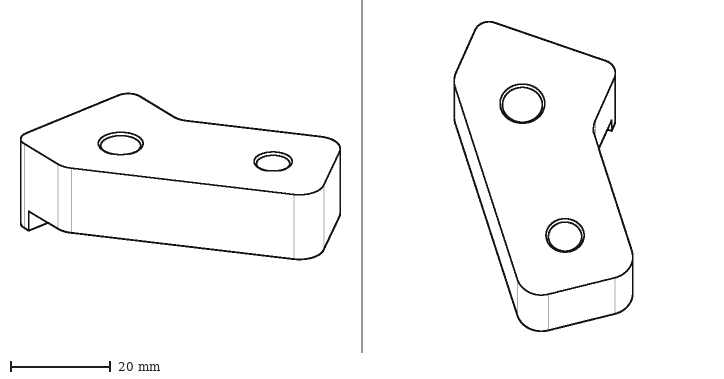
import cadquery as cq
import math

total_height = 19.5
lip_height = 4.5
lip_width = 4.5
base_depth = 30.0
bend_x = 15.25
arm_angle = math.radians(37.25)
arm_length = 43.45
base_corner_radius = 3.05
arm_corner_radius = 5.0
large_hole_diameter = 8.0
small_hole_diameter = 6.65
hole_spacing = 31.4
hole_chamfer = 0.5

arm_half_width = base_depth * math.cos(arm_angle) / 2


def arm_point(along, across):
    """XY point given along and across the arm axis, starting at the bend."""
    x = bend_x + along * math.cos(arm_angle) - across * math.sin(arm_angle)
    y = base_depth / 2 + along * math.sin(arm_angle) + across * math.cos(arm_angle)
    return (x, y)


def make_body():
    """Bent plate with rounded vertical edges."""
    outline = [
        (0, 0),
        (bend_x, 0),
        arm_point(arm_length, -arm_half_width),
        arm_point(arm_length, arm_half_width),
        (bend_x, base_depth),
        (0, base_depth),
    ]
    body = cq.Workplane("XY").polyline(outline).close().extrude(total_height)
    body = body.edges("|Z and <X").fillet(base_corner_radius)
    for x, y in outline[1:5]:
        corner = cq.selectors.NearestToPointSelector((x, y, total_height / 2))
        body = body.edges("|Z").edges(corner).fillet(arm_corner_radius)
    return body


def make_underside_cut():
    """Material removed below the plate, leaving only the lip."""
    reach = bend_x + arm_length + base_depth
    return cq.Workplane("XY").box(reach, reach, lip_height, centered=False).translate((lip_width, 0, 0))


def make_hole(center, diameter):
    """Through hole with a chamfered top rim."""
    radius = diameter / 2
    hole = cq.Workplane("XY").center(*center).circle(radius).extrude(total_height)
    rim = cq.Solid.makeCone(
        radius,
        radius + hole_chamfer,
        hole_chamfer,
        pnt=cq.Vector(*center, total_height - hole_chamfer),
    )
    return hole.union(cq.Workplane(obj=rim))


result = make_body().cut(make_underside_cut())
result = result.cut(make_hole(arm_point(0, 0), large_hole_diameter))
result = result.cut(make_hole(arm_point(hole_spacing, 0), small_hole_diameter))